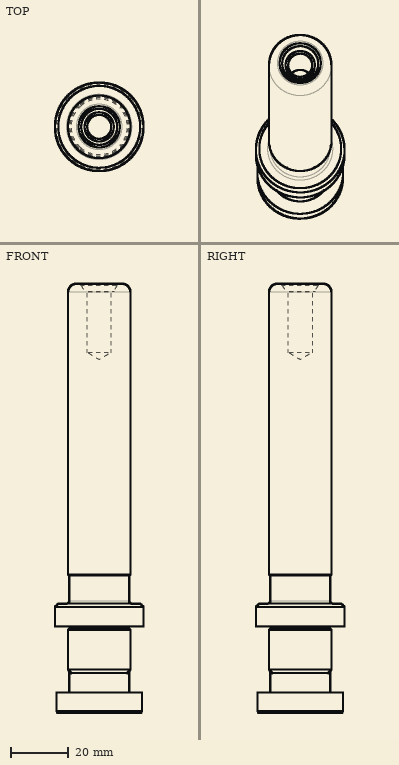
import cadquery as cq

TOTAL_HEIGHT = 150.0
PIN_RADIUS = 11.0
NECK_RADIUS = 10.5

CAP_RADIUS = 15.0
CAP_FLANGE_HEIGHT = 7.2
CAP_HEIGHT = 14.0
CAP_CHAMFER_WIDTH = 0.5
CAP_CHAMFER_HEIGHT = 0.8

LEAD_CHAMFER = 1.2
COLLAR_DIAMETER = 31.0
COLLAR_RADIUS = COLLAR_DIAMETER / 2
COLLAR_BOTTOM = 30.2
COLLAR_TOP = 38.2
COLLAR_TOP_CHAMFER = 1.2
COLLAR_BOTTOM_FILLET = 0.5
UNDERCUT_RADIUS = 10.2
UNDERCUT_HEIGHT = 0.5
UNDERCUT_TAPER = PIN_RADIUS - UNDERCUT_RADIUS
NECK_TOP = 48.0
NECK_FILLET = 0.9
TIP_FILLET = 3.0

MOUTH_RADIUS = 7.2
CONE_RADIUS = 6.3
MOUTH_DEPTH = 0.6
CONE_DEPTH = 2.7
CONE_END_RADIUS = 5.1
BORE_RADIUS = 4.2
LEDGE_DEPTH = 2.8
BORE_DEPTH = 24.0
DRILL_POINT_DEPTH = 2.5


def make_end_cap():
    """Turned cap whose neck carries the pin on its flat top."""
    profile = (
        cq.Workplane("XZ")
        .moveTo(0, 0)
        .lineTo(CAP_RADIUS - CAP_CHAMFER_WIDTH, 0)
        .lineTo(CAP_RADIUS, CAP_CHAMFER_HEIGHT)
        .lineTo(CAP_RADIUS, CAP_FLANGE_HEIGHT)
        .lineTo(NECK_RADIUS, CAP_FLANGE_HEIGHT)
        .lineTo(NECK_RADIUS, CAP_HEIGHT)
        .lineTo(0, CAP_HEIGHT)
        .close()
    )
    return profile.revolve(360, (0, 0, 0), (0, 1, 0))


def make_pin_blank():
    """Solid turned pin with collar, undercut, neck and rounded tip."""
    step_chamfer = PIN_RADIUS - NECK_RADIUS
    undercut_bottom = COLLAR_BOTTOM - UNDERCUT_HEIGHT
    profile = (
        cq.Workplane("XZ")
        .moveTo(0, CAP_HEIGHT)
        .lineTo(PIN_RADIUS - LEAD_CHAMFER, CAP_HEIGHT)
        .lineTo(PIN_RADIUS, CAP_HEIGHT + LEAD_CHAMFER)
        .lineTo(PIN_RADIUS, undercut_bottom - UNDERCUT_TAPER)
        .lineTo(UNDERCUT_RADIUS, undercut_bottom)
        .lineTo(UNDERCUT_RADIUS, COLLAR_BOTTOM)
        .lineTo(COLLAR_RADIUS - COLLAR_BOTTOM_FILLET, COLLAR_BOTTOM)
        .radiusArc((COLLAR_RADIUS, COLLAR_BOTTOM + COLLAR_BOTTOM_FILLET), -COLLAR_BOTTOM_FILLET)
        .lineTo(COLLAR_RADIUS, COLLAR_TOP - COLLAR_TOP_CHAMFER)
        .lineTo(COLLAR_RADIUS - COLLAR_TOP_CHAMFER, COLLAR_TOP)
        .lineTo(NECK_RADIUS + NECK_FILLET, COLLAR_TOP)
        .radiusArc((NECK_RADIUS, COLLAR_TOP + NECK_FILLET), NECK_FILLET)
        .lineTo(NECK_RADIUS, NECK_TOP)
        .lineTo(PIN_RADIUS, NECK_TOP + step_chamfer)
        .lineTo(PIN_RADIUS, TOTAL_HEIGHT - TIP_FILLET)
        .radiusArc((PIN_RADIUS - TIP_FILLET, TOTAL_HEIGHT), -TIP_FILLET)
        .lineTo(0, TOTAL_HEIGHT)
        .close()
    )
    return profile.revolve(360, (0, 0, 0), (0, 1, 0))


def make_centre_bore():
    """Cutter for the bore: bevelled mouth, centring cone, ledge, hole and drill point."""
    bore_bottom = TOTAL_HEIGHT - BORE_DEPTH
    profile = (
        cq.Workplane("XZ")
        .moveTo(0, TOTAL_HEIGHT)
        .lineTo(MOUTH_RADIUS, TOTAL_HEIGHT)
        .lineTo(CONE_RADIUS, TOTAL_HEIGHT - MOUTH_DEPTH)
        .lineTo(CONE_END_RADIUS, TOTAL_HEIGHT - CONE_DEPTH)
        .lineTo(BORE_RADIUS, TOTAL_HEIGHT - LEDGE_DEPTH)
        .lineTo(BORE_RADIUS, bore_bottom)
        .lineTo(0, bore_bottom - DRILL_POINT_DEPTH)
        .close()
    )
    return profile.revolve(360, (0, 0, 0), (0, 1, 0))


end_cap = make_end_cap()
guide_pin = make_pin_blank().cut(make_centre_bore())

result = cq.Compound.makeCompound([end_cap.val(), guide_pin.val()])